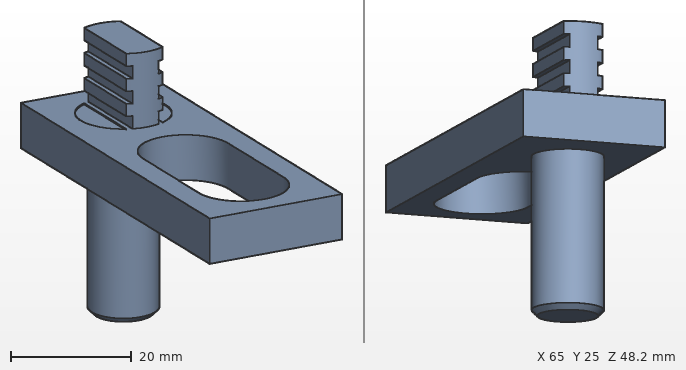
import cadquery as cq

plate_length = 65.0
plate_width = 25.0
plate_thickness = 8.0

slot_start = 26.0
slot_end = 61.0
slot_width = 16.0

axis_x = plate_width / 2
pin_diameter = 12.0
pin_length = 27.0
pin_chamfer = 1.0

head_diameter = 16.05
head_height = 13.25
tongue_thickness = 6.9
core_thickness = 4.95
tooth_count = 3
tooth_height = head_height / (2 * tooth_count)

relief_depth = 0.2


def make_plate():
    plate = cq.Workplane("XY").box(
        plate_length, plate_width, plate_thickness, centered=(False, True, False)
    )
    slot = (
        cq.Workplane("XY")
        .center((slot_start + slot_end) / 2, 0)
        .slot2D(slot_end - slot_start, slot_width)
        .extrude(plate_thickness)
    )
    return plate.cut(slot)


def make_pin():
    return (
        cq.Workplane("XY")
        .center(axis_x, 0)
        .circle(pin_diameter / 2)
        .extrude(-pin_length)
        .faces("<Z")
        .chamfer(pin_chamfer)
    )


def head_cylinder(bottom, height):
    return (
        cq.Workplane("XY", origin=(axis_x, 0, bottom))
        .circle(head_diameter / 2)
        .extrude(height)
    )


def tongue_slab(thickness, bottom, height):
    return cq.Workplane("XY", origin=(axis_x, 0, bottom)).box(
        head_diameter, thickness, height, centered=(True, True, False)
    )


def make_head():
    slabs = tongue_slab(core_thickness, plate_thickness, head_height)
    for i in range(tooth_count):
        tooth_bottom = plate_thickness + (2 * i + 1) * tooth_height
        slabs = slabs.union(tongue_slab(tongue_thickness, tooth_bottom, tooth_height))
    return slabs.intersect(head_cylinder(plate_thickness, head_height))


def make_relief():
    floor = plate_thickness - relief_depth
    return head_cylinder(floor, relief_depth).cut(
        tongue_slab(tongue_thickness, floor, relief_depth)
    )


result = make_plate().cut(make_relief()).union(make_pin()).union(make_head())